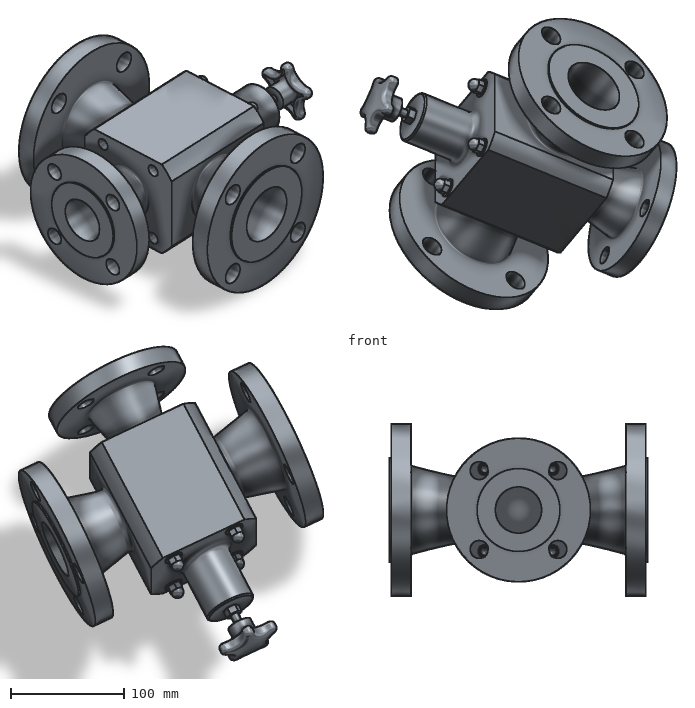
import cadquery as cq
import math


body_width = 104.0
body_height = 96.2
body_front = -56.5
body_back = 64.7
body_corner_radius = 62.7
bolt_hole_diameter = 11.0
bolt_x = 29.8
bolt_z = 36.5

overall_width = 228.5
large_port = dict(
    body_face=body_width / 2, end=overall_width / 2, flange_diameter=152.3, flange_thickness=17.7,
    raised_diameter=92.0, bore_diameter=52.5, bolt_circle=120.8, hole_diameter=19.0,
    hub_diameter=77.5, pipe_diameter=60.2, pipe_end=57.8,
)
small_port = dict(
    body_face=-body_front, end=116.3, flange_diameter=127.0, flange_thickness=16.0,
    raised_diameter=73.2, bore_diameter=41.0, bolt_circle=98.5, hole_diameter=15.8,
    hub_diameter=65.2, pipe_diameter=48.5, pipe_end=62.0,
)
raised_thickness = 1.7
hub_fillet = 2.0
body_fillet = 2.5
holes_per_flange = 4

bonnet_diameter = 45.5
bonnet_top = 118.8
bonnet_chamfer = 1.5
bonnet_fillet = 6.5
gland_nut_across_flats = 13.0
gland_nut_top = 125.5
stem_diameter = 7.5

wheel_hub_diameter = 22.0
wheel_hub_bottom = 135.5
wheel_bottom = 147.5
wheel_top = 160.0
wheel_rim_top = 157.0
lobe_count = 5
lobe_reach = 28.5
lobe_radius = 5.0
wheel_valley_radius = 17.5
wheel_lower_fillet = 3.5
wheel_upper_fillet = 3.5
wheel_wall = 4.0
pocket_depth = 6.0
pocket_roof = wheel_bottom + pocket_depth
wheel_hub_root_fillet = 3.5

washer_diameter = 16.5
washer_thickness = 0.8
cap_across_flats = 11.3
cap_hex_top = 6.5
cap_diameter = 11.0
cap_dome_base = 8.0
cap_thread_diameter = 7.5
cap_mouth_diameter = 9.5

hexagon_sides = 6
overlap = 2.8
arc_middle = 1 - math.sqrt(0.5)


def cylinder_y(diameter, start, end, x=0, z=0):
    """Cylinder parallel to Y from y=start to y=end."""
    return cq.Workplane("XZ", origin=(x, start, z)).circle(diameter / 2).extrude(start - end)


def hexagon_y(across_flats, start, end, turn=0):
    """Hexagonal prism on the Y axis; two flats face +-Z unless it is turned (degrees)."""
    corners = across_flats / math.cos(math.pi / hexagon_sides)
    prism = cq.Workplane("XZ", origin=(0, start, 0)).polygon(hexagon_sides, corners).extrude(start - end)
    return prism.rotate((0, 0, 0), (0, 1, 0), turn)


def make_body():
    block = cq.Workplane().box(body_width, body_back - body_front, body_height)
    block = block.translate((0, (body_front + body_back) / 2, 0))
    return block.intersect(cylinder_y(2 * body_corner_radius, body_front, body_back))


def make_port(size):
    """Weld-neck flange along +X, starting inside the body."""
    face = size["end"] - raised_thickness
    flange_back = face - size["flange_thickness"]
    hub_radius = size["hub_diameter"] / 2
    pipe_radius = size["pipe_diameter"] / 2
    neck_start = size["body_face"]
    fillet_start = neck_start + body_fillet
    fillet_mid = body_fillet * arc_middle
    hub_mid = hub_fillet * arc_middle
    port = (
        cq.Workplane()
        .moveTo(neck_start - overlap, 0)
        .lineTo(neck_start - overlap, pipe_radius + body_fillet)
        .lineTo(neck_start, pipe_radius + body_fillet)
        .threePointArc((neck_start + fillet_mid, pipe_radius + fillet_mid), (fillet_start, pipe_radius))
        .lineTo(size["pipe_end"], pipe_radius)
        .lineTo(flange_back - hub_fillet, hub_radius)
        .threePointArc((flange_back - hub_mid, hub_radius + hub_mid), (flange_back, hub_radius + hub_fillet))
        .lineTo(flange_back, size["flange_diameter"] / 2)
        .lineTo(face, size["flange_diameter"] / 2)
        .lineTo(face, size["raised_diameter"] / 2)
        .lineTo(size["end"], size["raised_diameter"] / 2)
        .lineTo(size["end"], 0)
        .close()
        .revolve(360, (0, 0, 0), (1, 0, 0))
    )
    bolt_holes = (
        cq.Workplane("YZ", origin=(flange_back, 0, 0))
        .polarArray(size["bolt_circle"] / 2, 180 / holes_per_flange, 360, holes_per_flange)
        .circle(size["hole_diameter"] / 2)
        .extrude(size["flange_thickness"])
    )
    bore = (
        cq.Workplane("YZ", origin=(size["body_face"], 0, 0))
        .circle(size["bore_diameter"] / 2)
        .extrude(size["end"] - size["body_face"])
    )
    return port.cut(bolt_holes).cut(bore)


def root_collar(diameter, fillet, root, direction):
    """Concave fillet around a cylinder on the Y axis rising from y=root (direction 1: +Y, -1: -Y)."""
    radius = diameter / 2
    mid = fillet * arc_middle
    return (
        cq.Workplane()
        .moveTo(0, root - direction * overlap)
        .lineTo(radius + fillet, root - direction * overlap)
        .lineTo(radius + fillet, root)
        .threePointArc((radius + mid, root + direction * mid), (radius, root + direction * fillet))
        .lineTo(0, root + direction * fillet)
        .close()
        .revolve(360, (0, 0, 0), (0, 1, 0))
    )


def make_bonnet():
    bonnet = cylinder_y(bonnet_diameter, body_back, bonnet_top)
    bonnet = bonnet.faces(">Y").chamfer(bonnet_chamfer)
    collar = root_collar(bonnet_diameter, bonnet_fillet, body_back, 1)
    gland_nut = hexagon_y(gland_nut_across_flats, bonnet_top - overlap, gland_nut_top)
    stem = cylinder_y(stem_diameter, bonnet_top, wheel_hub_bottom + overlap)
    return bonnet.union(collar).union(gland_nut).union(stem)


def polar(radius, angle):
    return (radius * math.cos(angle), radius * math.sin(angle))


def star_prism(inset, start, end):
    """Star with round lobes and hollow arcs between them, offset inward by inset; one lobe points to +Z."""
    step = 2 * math.pi / lobe_count
    lobe_centre = lobe_reach - lobe_radius
    half_chord = lobe_centre * math.sin(step / 2)
    depth = lobe_centre * math.cos(step / 2) - wheel_valley_radius
    hollow_radius = (half_chord**2 + depth**2 - lobe_radius**2) / (2 * (depth + lobe_radius))
    hollow_centre = wheel_valley_radius + hollow_radius
    tangent_share = (lobe_radius - inset) / (lobe_radius + hollow_radius)

    def lobe_end(lobe_angle, side):
        """Point where a lobe meets the hollow after it (side 1) or before it (side -1)."""
        lobe_x, lobe_z = polar(lobe_centre, lobe_angle)
        hollow_x, hollow_z = polar(hollow_centre, lobe_angle + side * step / 2)
        return (
            lobe_x + (hollow_x - lobe_x) * tangent_share,
            lobe_z + (hollow_z - lobe_z) * tangent_share,
        )

    top_angle = math.pi / 2
    outline = cq.Workplane("XZ", origin=(0, start, 0)).moveTo(*lobe_end(top_angle, -1))
    for index in range(lobe_count):
        angle = top_angle + index * step
        valley = polar(wheel_valley_radius - inset, angle + step / 2)
        outline = outline.threePointArc(polar(lobe_reach - inset, angle), lobe_end(angle, 1))
        outline = outline.threePointArc(valley, lobe_end(angle + step, -1))
    return outline.close().extrude(start - end)


def make_handwheel():
    """Star wheel with a domed top, rounded edges, a hollow underside and a central hub."""
    dome = (
        cq.Workplane()
        .moveTo(0, wheel_bottom)
        .lineTo(lobe_reach + overlap, wheel_bottom)
        .lineTo(lobe_reach + overlap, wheel_rim_top)
        .lineTo(lobe_reach, wheel_rim_top)
        .lineTo(wheel_hub_diameter / 2, wheel_top)
        .lineTo(0, wheel_top)
        .close()
        .revolve(360, (0, 0, 0), (0, 1, 0))
    )
    wheel = star_prism(0, wheel_bottom, wheel_top).intersect(dome)
    wheel = wheel.faces("<Y").edges().fillet(wheel_lower_fillet)
    wheel = wheel.faces("%CONE").edges("not >Y").fillet(wheel_upper_fillet)
    wheel = wheel.cut(star_prism(wheel_wall, wheel_bottom, pocket_roof))
    hub = cylinder_y(wheel_hub_diameter, wheel_hub_bottom, pocket_roof + overlap)
    collar = root_collar(wheel_hub_diameter, wheel_hub_root_fillet, pocket_roof, -1)
    return wheel.union(hub).union(collar)


def make_cap_nut():
    """Domed cap nut on a washer, seated on the XZ plane and hollow for the stud."""
    nut = cylinder_y(washer_diameter, 0, washer_thickness)
    nut = nut.union(hexagon_y(cap_across_flats, 0, cap_hex_top, 180 / hexagon_sides))
    nut = nut.union(cylinder_y(cap_diameter, 0, cap_dome_base))
    dome = cq.Workplane().sphere(cap_diameter / 2).translate((0, cap_dome_base, 0))
    thread_radius = cap_thread_diameter / 2
    mouth_radius = cap_mouth_diameter / 2
    cavity = (
        cq.Workplane()
        .moveTo(0, 0)
        .lineTo(mouth_radius, 0)
        .lineTo(thread_radius, mouth_radius - thread_radius)
        .lineTo(thread_radius, cap_dome_base)
        .radiusArc((0, cap_dome_base + thread_radius), -thread_radius)
        .close()
        .revolve(360, (0, 0, 0), (0, 1, 0))
    )
    return nut.union(dome).cut(cavity)


result = make_body()
for port_size, turn in ((large_port, 0), (large_port, 180), (small_port, -90)):
    result = result.union(make_port(port_size).rotate((0, 0, 0), (0, 0, 1), turn))
result = result.union(make_bonnet()).union(make_handwheel())

cap_nut = make_cap_nut()
for x in (-bolt_x, bolt_x):
    for z in (-bolt_z, bolt_z):
        result = result.cut(cylinder_y(bolt_hole_diameter, body_front, body_back, x, z))
        result = result.union(cap_nut.translate((x, body_back, z)))